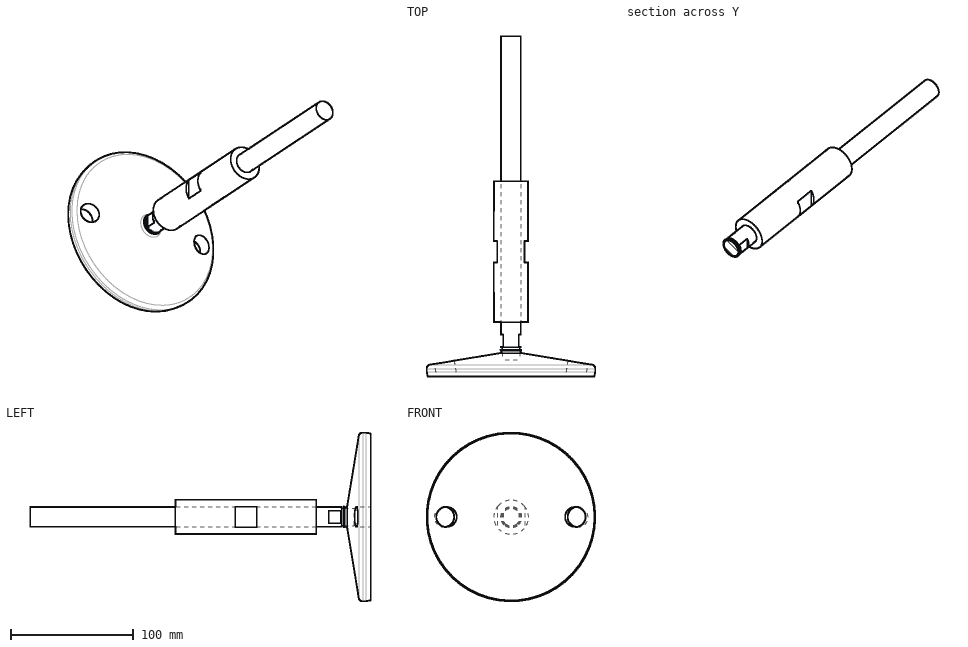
import cadquery as cq
import math

TOTAL_LENGTH = 278.0

FOOT_RADIUS = 138.0 / 2
FOOT_BOTTOM_RADIUS = 68.0
RIM_TAPER_HEIGHT = 4.2
RIM_TOP = 6.7
RIM_ROUND_RADIUS = 3.3
CONE_TOP_RADIUS = 10.0
CONE_TOP = 19.2
LIP_RADIUS = 8.5
LIP_ROOT_RADIUS = 7.8
LIP_ROOT = 21.0
LIP_TOP = 22.0

HOLE_DIAMETER = 16.5
HOLE_OFFSET = 52.5
HOLE_CUT_LENGTH = 55.5

ROD_RADIUS = 16.5 / 2
ROD_BOTTOM = 24.0
NECK_RADIUS = 7.2
NECK_BOTTOM = 14.0
ROD_FLAT_WIDTH = 12.8
ROD_FLAT_BOTTOM = 24.5
ROD_FLAT_TOP = 34.5

SLEEVE_RADIUS = 28.0 / 2
SLEEVE_BOTTOM = 44.5
SLEEVE_TOP = 159.5
SLEEVE_FLAT_WIDTH = 22.5
SLEEVE_FLAT_LENGTH = 17.5


def cylinder(radius, start, end):
    """Solid cylinder along Y between two levels."""
    return cq.Workplane("XZ", origin=(0, start, 0)).circle(radius).extrude(start - end)


def cut_flats(body, radius, width, start, end):
    """Cut two opposite flats, facing -X and +X, between two levels."""
    depth = radius - width / 2
    for side in (-1, 1):
        cutter = cq.Workplane("XY").box(depth, end - start, 2 * radius).translate(
            (side * (width + depth) / 2, (start + end) / 2, 0)
        )
        body = body.cut(cutter)
    return body


def make_foot():
    """Conical foot with a rounded rim, a lipped collar, a neck socket and two holes."""
    round_center_radius = FOOT_RADIUS - RIM_ROUND_RADIUS
    cone_run = round_center_radius - CONE_TOP_RADIUS
    cone_rise = CONE_TOP - RIM_TOP
    slope = math.atan2(cone_rise, cone_run) - math.asin(
        RIM_ROUND_RADIUS / math.hypot(cone_run, cone_rise)
    )
    round_end = (
        round_center_radius + RIM_ROUND_RADIUS * math.sin(slope),
        RIM_TOP + RIM_ROUND_RADIUS * math.cos(slope),
    )
    middle_angle = (slope + math.pi / 2) / 2
    round_middle = (
        round_center_radius + RIM_ROUND_RADIUS * math.sin(middle_angle),
        RIM_TOP + RIM_ROUND_RADIUS * math.cos(middle_angle),
    )
    flare = 1 - math.sin(math.pi / 4)
    collar_middle = (
        LIP_ROOT_RADIUS + flare * (CONE_TOP_RADIUS - LIP_ROOT_RADIUS),
        CONE_TOP + flare * (LIP_ROOT - CONE_TOP),
    )
    foot = (
        cq.Workplane("XY")
        .moveTo(0, 0)
        .lineTo(FOOT_BOTTOM_RADIUS, 0)
        .lineTo(FOOT_RADIUS, RIM_TAPER_HEIGHT)
        .lineTo(FOOT_RADIUS, RIM_TOP)
        .threePointArc(round_middle, round_end)
        .lineTo(CONE_TOP_RADIUS, CONE_TOP)
        .threePointArc(collar_middle, (LIP_ROOT_RADIUS, LIP_ROOT))
        .lineTo(LIP_RADIUS, LIP_TOP)
        .lineTo(0, LIP_TOP)
        .close()
        .revolve(360, (0, 0, 0), (0, 1, 0))
    )
    foot = foot.cut(cylinder(NECK_RADIUS, NECK_BOTTOM, LIP_TOP))
    for side in (-1, 1):
        axis = cq.Vector(side * math.sin(slope), math.cos(slope), 0)
        start = cq.Vector(side * HOLE_OFFSET, 0, 0) - axis * (HOLE_CUT_LENGTH / 2)
        foot = foot.cut(
            cq.Workplane(cq.Solid.makeCylinder(HOLE_DIAMETER / 2, HOLE_CUT_LENGTH, start, axis))
        )
    return foot


def make_rod():
    """Rod running through the sleeve, with its reduced neck in the foot."""
    rod = cylinder(ROD_RADIUS, ROD_BOTTOM, TOTAL_LENGTH)
    rod = cut_flats(rod, ROD_RADIUS, ROD_FLAT_WIDTH, ROD_FLAT_BOTTOM, ROD_FLAT_TOP)
    return rod.union(cylinder(NECK_RADIUS, NECK_BOTTOM, ROD_BOTTOM))


def make_sleeve():
    """Round sleeve bored for the rod, with two wrench flats."""
    sleeve = cylinder(SLEEVE_RADIUS, SLEEVE_BOTTOM, SLEEVE_TOP)
    sleeve = sleeve.cut(cylinder(ROD_RADIUS, SLEEVE_BOTTOM, SLEEVE_TOP))
    middle = (SLEEVE_BOTTOM + SLEEVE_TOP) / 2
    half_length = SLEEVE_FLAT_LENGTH / 2
    return cut_flats(
        sleeve, SLEEVE_RADIUS, SLEEVE_FLAT_WIDTH, middle - half_length, middle + half_length
    )


foot = make_foot()
rod = make_rod()
sleeve = make_sleeve()
result = cq.Compound.makeCompound([foot.val(), rod.val(), sleeve.val()])